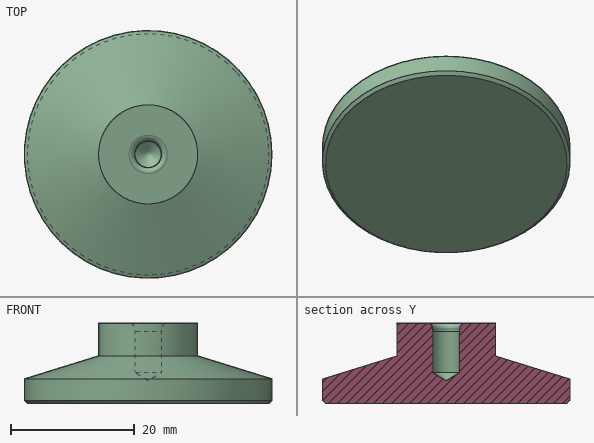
import cadquery as cq
import math

disc_radius = 20.0
rim_height = 4.0
bottom_chamfer = 0.5

total_height = 13.0
boss_radius = 8.0
boss_height = 5.3
boss_base = total_height - boss_height

hole_radius = 2.1
throat_radius = 2.15
throat_length = 0.4
mouth_radius = 3.1
hole_depth = 8.0
drill_point_angle = 118.0
mouth_rounding = mouth_radius - throat_radius


def make_body():
    """Revolve the outer outline about the Z axis."""
    outline = (
        cq.Workplane("XZ")
        .moveTo(0, 0)
        .lineTo(disc_radius - bottom_chamfer, 0)
        .lineTo(disc_radius, bottom_chamfer)
        .lineTo(disc_radius, rim_height)
        .lineTo(boss_radius, boss_base)
        .lineTo(boss_radius, total_height)
        .lineTo(0, total_height)
        .close()
    )
    return outline.revolve(360, (0, 0), (0, 1))


def make_hole():
    """Revolve the drilled hole, its conical end, its throat and its rounded mouth."""
    hole_floor = total_height - hole_depth
    point_depth = hole_radius / math.tan(math.radians(drill_point_angle / 2))
    throat_top = total_height - mouth_rounding
    throat_floor = throat_top - throat_length
    arc_inset = mouth_rounding * (1 - math.sqrt(0.5))
    outline = (
        cq.Workplane("XZ")
        .moveTo(0, hole_floor - point_depth)
        .lineTo(hole_radius, hole_floor)
        .lineTo(hole_radius, throat_floor)
        .lineTo(throat_radius, throat_floor)
        .lineTo(throat_radius, throat_top)
        .threePointArc(
            (throat_radius + arc_inset, total_height - arc_inset),
            (mouth_radius, total_height),
        )
        .lineTo(0, total_height)
        .close()
    )
    return outline.revolve(360, (0, 0), (0, 1))


result = make_body().cut(make_hole())